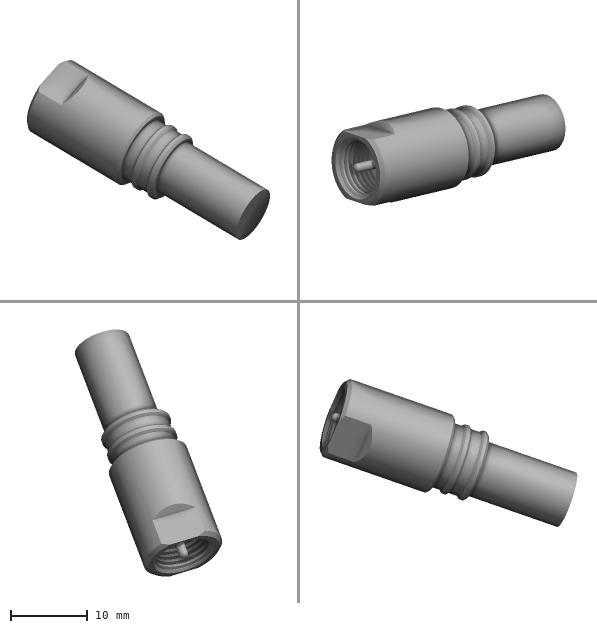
import cadquery as cq
import math

length = 33.0
tip_x = -length / 2
face_x = tip_x + 0.25
body_end_x = tip_x + 15.28
collar_end_x = tip_x + 20.3
tail_x = length / 2

body_diameter = 10.8
body_radius = body_diameter / 2
front_chamfer = 0.5
rear_chamfer = 0.33
across_flats = 9.0
flat_height = across_flats / 2
flat_length = 4.12

neck_radius = 4.42
rib_radius = 4.75
rib_rise = rib_radius - neck_radius
front_rib_x = tip_x + 16.73
front_rib_end_x = tip_x + 17.9
rear_rib_x = tip_x + 19.2
tail_radius = 3.75
tail_offset_y = 0.2

bore_radius = 3.63
bore_depth = 6.6
mouth_radius = 4.12
mouth_depth = mouth_radius - bore_radius
thread_pitch = 0.75
thread_radius = 4.0
thread_start_x = face_x - thread_pitch / 2
thread_turns = 8
thread_root_width = thread_pitch / 8
thread_crest_width = thread_pitch * 3 / 4
tool_overlap = 0.05

recess_radius = 2.45
recess_chamfer = 0.13
recess_depth = 0.5
pin_radius = 0.63


def make_shell():
    """Turned body and grooved collar, solid through the axis."""
    profile = [
        (face_x, 0),
        (face_x, body_radius - front_chamfer),
        (face_x + front_chamfer, body_radius),
        (body_end_x - rear_chamfer, body_radius),
        (body_end_x, body_radius - rear_chamfer),
        (body_end_x, neck_radius),
        (front_rib_x, neck_radius),
        (front_rib_x + rib_rise, rib_radius),
        (front_rib_end_x - rib_rise, rib_radius),
        (front_rib_end_x, neck_radius),
        (rear_rib_x, neck_radius),
        (rear_rib_x + rib_rise, rib_radius),
        (collar_end_x - rib_rise, rib_radius),
        (collar_end_x, neck_radius),
        (collar_end_x, 0),
    ]
    return cq.Workplane("XY").polyline(profile).close().revolve(360, (0, 0), (1, 0))


def make_tail():
    """Rear tube, set slightly off the body axis toward +Y."""
    return (
        cq.Workplane("YZ", origin=(collar_end_x, tail_offset_y, 0))
        .circle(tail_radius)
        .extrude(tail_x - collar_end_x)
    )


def make_flat_cutter(side):
    """Wrench flat with a 45 degree run-out; side is +1 for top, -1 for bottom."""
    rise = body_radius - flat_height
    flat_end_x = face_x + flat_length
    outline = [
        (face_x, side * flat_height),
        (flat_end_x, side * flat_height),
        (flat_end_x + rise, side * body_radius),
        (face_x, side * body_radius),
    ]
    return cq.Workplane("XZ").polyline(outline).close().extrude(body_radius, both=True)


def make_socket_cutter():
    """Bore with a conical mouth and a shallow chamfered recess in its floor."""
    floor_x = face_x + bore_depth
    recess_inner_radius = recess_radius - recess_chamfer
    profile = [
        (face_x, 0),
        (face_x, mouth_radius),
        (face_x + mouth_depth, bore_radius),
        (floor_x, bore_radius),
        (floor_x, recess_radius),
        (floor_x + recess_chamfer, recess_inner_radius),
        (floor_x + recess_depth, recess_inner_radius),
        (floor_x + recess_depth, 0),
    ]
    return cq.Workplane("XY").polyline(profile).close().revolve(360, (0, 0), (1, 0))


def make_thread_cutter():
    """Right-hand V groove swept along the bore."""
    inner_radius = bore_radius - tool_overlap
    helix = cq.Wire.makeHelix(thread_pitch, thread_turns * thread_pitch, bore_radius)
    groove = [
        (inner_radius, -thread_crest_width / 2),
        (thread_radius, -thread_root_width / 2),
        (thread_radius, thread_root_width / 2),
        (inner_radius, thread_crest_width / 2),
    ]
    cutter = cq.Workplane("XZ").polyline(groove).close().sweep(cq.Workplane(helix), isFrenet=True)
    return cutter.rotate((0, 0, 0), (0, 1, 0), 90).translate((thread_start_x, 0, 0))


def make_pin():
    """Centre pin with a hemispherical nose, rooted in the recess floor."""
    root_x = face_x + bore_depth + recess_depth + tool_overlap
    nose_mid = (
        tip_x + pin_radius * (1 - math.sqrt(0.5)),
        pin_radius * math.sqrt(0.5),
    )
    return (
        cq.Workplane("XY")
        .moveTo(tip_x, 0)
        .threePointArc(nose_mid, (tip_x + pin_radius, pin_radius))
        .lineTo(root_x, pin_radius)
        .lineTo(root_x, 0)
        .close()
        .revolve(360, (0, 0), (1, 0))
    )


result = make_shell().union(make_tail())
for side in (1, -1):
    result = result.cut(make_flat_cutter(side))
result = result.cut(make_socket_cutter())
result = result.cut(make_thread_cutter())
result = result.union(make_pin())